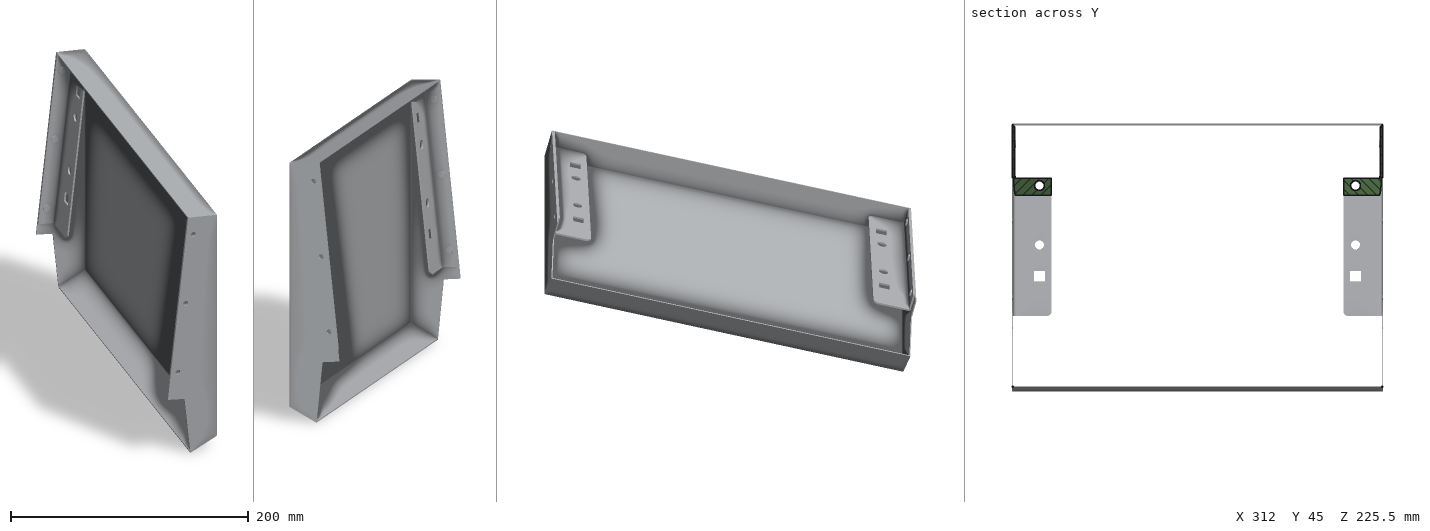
import cadquery as cq
import math

WIDTH = 312.0
DEPTH = 45.0
HEIGHT = 225.5
SHEET = 1.0
BEND = 2.0
BACK_BOTTOM = 12.2
BACK_TOP = 223.5
BOTTOM_DEPTH = 24.5
LIP_HEIGHT = 54.5
NOTCH_DEPTH = 30.0
NOTCH_HEIGHT = 52.7
SLANT = 6.1

BRACKET_SHEET = 1.5
BRACKET_BEND = 2.2
BRACKET_LENGTH = 160.0
BRACKET_START = 10.5
BRACKET_DEPTH = 15.5
BRACKET_WIDTH = 32.5
WEB_CORNER = 4.7

WEB_HOLE_INSET = 22.0
SQUARE_SIZE = 9.0
SQUARE_PLACES = (33.7, 134.0)
ROUND_DIAMETER = 7.8
ROUND_PLACES = (60.2, 110.5)

DIMPLE_END_GAP = 15.0
DIMPLE_INSET = 6.2
DIMPLE_DIAMETER = 6.2
DIMPLE_RISE = 1.0

slant = math.radians(SLANT)
top_depth = DEPTH - (HEIGHT - LIP_HEIGHT) * math.tan(slant)
inner_half_width = WIDTH / 2 - SHEET
bracket_inner_bend = BRACKET_BEND - BRACKET_SHEET


def tray_block(outline, half_width, bend):
    """Side outline (Y, Z) extruded across X, with the edges round its back face rounded."""
    block = cq.Workplane("YZ").polyline(outline).close().extrude(half_width, both=True)
    return block.faces(">Y").edges().fillet(bend)


def height_along(start, end, depth):
    """Height at the given forward depth on the straight line through two (Y, Z) points."""
    slope = (end[1] - start[1]) / (end[0] - start[0])
    return start[1] + slope * (-depth - start[0])


def stand_on_wall(body):
    """Move a body from the bracket frame to its place on the -X wall.

    The bracket frame has X inwards from the wall, Y back from the slanted edge and Z up that edge.
    """
    leaning = body.translate((0, 0, BRACKET_START)).rotate((0, 0, 0), (1, 0, 0), -SLANT)
    return leaning.translate((-inner_half_width, -DEPTH, LIP_HEIGHT))


def dimple_rods(diameter, start, end):
    """Round rods at the dimple places, between two distances inwards from the wall (bracket frame)."""
    heights = (DIMPLE_END_GAP, BRACKET_LENGTH / 2, BRACKET_LENGTH - DIMPLE_END_GAP)
    return (
        cq.Workplane("YZ", origin=(start, 0, 0))
        .pushPoints([(DIMPLE_INSET, height) for height in heights])
        .circle(diameter / 2)
        .extrude(end - start)
    )


def make_housing():
    back_top = (0, BACK_TOP)
    front_top = (-top_depth, HEIGHT)
    back_bottom = (0, BACK_BOTTOM)
    front_bottom = (-BOTTOM_DEPTH, 0)
    outer = tray_block(
        [back_bottom, front_bottom, (-NOTCH_DEPTH, NOTCH_HEIGHT), (-DEPTH, LIP_HEIGHT), front_top, back_top],
        WIDTH / 2,
        BEND,
    )
    open_depth = DEPTH + 3
    top_drop = SHEET / math.cos(math.atan2(HEIGHT - BACK_TOP, top_depth))
    bottom_lift = SHEET / math.cos(math.atan2(BACK_BOTTOM, BOTTOM_DEPTH))
    cavity = tray_block(
        [
            (-SHEET, height_along(back_bottom, front_bottom, SHEET) + bottom_lift),
            (-open_depth, height_along(back_bottom, front_bottom, open_depth) + bottom_lift),
            (-open_depth, height_along(back_top, front_top, open_depth) - top_drop),
            (-SHEET, height_along(back_top, front_top, SHEET) - top_drop),
        ],
        inner_half_width,
        BEND - SHEET,
    )
    housing = outer.cut(cavity)

    dimple_height = BRACKET_SHEET + DIMPLE_RISE
    bosses = stand_on_wall(dimple_rods(DIMPLE_DIAMETER, -SHEET / 2, dimple_height))
    recesses = stand_on_wall(dimple_rods(DIMPLE_DIAMETER - 2 * SHEET, -SHEET, dimple_height - SHEET))
    housing = housing.union(bosses).union(bosses.mirror("YZ"))
    return housing.cut(recesses).cut(recesses.mirror("YZ"))


def make_left_bracket():
    """Bracket on the -X wall, built in the bracket frame and then stood on the wall."""
    section = (
        cq.Workplane("XY")
        .polyline([
            (0, 0),
            (BRACKET_SHEET, 0),
            (BRACKET_SHEET, BRACKET_DEPTH - BRACKET_SHEET),
            (BRACKET_WIDTH, BRACKET_DEPTH - BRACKET_SHEET),
            (BRACKET_WIDTH, BRACKET_DEPTH),
            (0, BRACKET_DEPTH),
        ])
        .close()
        .extrude(BRACKET_LENGTH)
    )
    bracket = section.edges("|Z and <X and >Y").fillet(BRACKET_BEND)
    inner_corner = cq.selectors.NearestToPointSelector(
        (BRACKET_SHEET, BRACKET_DEPTH - BRACKET_SHEET, BRACKET_LENGTH / 2)
    )
    bracket = bracket.edges("|Z").edges(inner_corner).fillet(bracket_inner_bend)
    bracket = bracket.edges("|Y and >X").fillet(WEB_CORNER)

    for height in SQUARE_PLACES:
        punch = cq.Workplane("XY").box(SQUARE_SIZE, BRACKET_DEPTH, SQUARE_SIZE)
        bracket = bracket.cut(punch.translate((WEB_HOLE_INSET, BRACKET_DEPTH, height)))
    for height in ROUND_PLACES:
        drill = cq.Workplane("XZ").circle(ROUND_DIAMETER / 2).extrude(BRACKET_DEPTH / 2, both=True)
        bracket = bracket.cut(drill.translate((WEB_HOLE_INSET, BRACKET_DEPTH, height)))

    bracket = bracket.cut(dimple_rods(DIMPLE_DIAMETER, 0, BRACKET_SHEET))

    return stand_on_wall(bracket)


housing = make_housing()
left_bracket = make_left_bracket()
right_bracket = left_bracket.mirror("YZ")

result = cq.Compound.makeCompound([housing.val(), left_bracket.val(), right_bracket.val()])